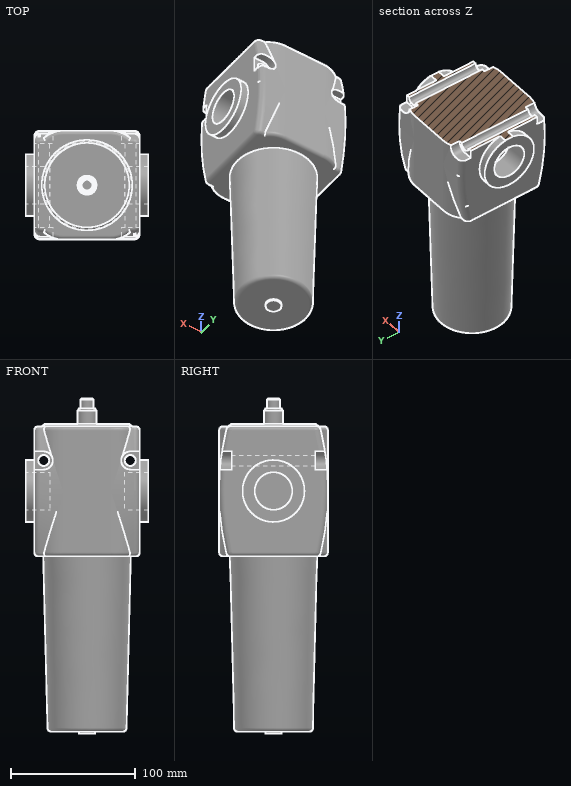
import cadquery as cq
total_height = 270.5
body_bottom = 143.0
body_top = 248.0
body_height = body_top - body_bottom
body_middle = (body_bottom + body_top) / 2

body_width = 85.2
body_depth = 88.0
core_flat_width = 38.5
core_corner_radius = (body_width - core_flat_width) / 2
barrel_end_depth = 74.7
barrel_edge_radius = 5.0
rim_radius = 3.2

port_height = 196.0
port_span = 99.0
port_diameter = 50.0
bore_diameter = 30.3
bore_depth = 19.5

hole_diameter = 8.7
hole_offset = 35.0
hole_height = 220.5
seat_radius = 7.3
seat_half_depth = 33.8

lid_base_diameter = 73.0
lid_top = 250.0
lid_top_diameter = 68.2
stem_diameter = 15.5
stem_shoulder = 262.5
stem_top_diameter = 13.0
stem_bevel_height = 2.0
button_diameter = 10.5
button_top_diameter = 8.7
button_bevel_height = 1.0

bowl_top_diameter = 71.0
bowl_bottom_diameter = 63.8
bowl_bottom = 1.5
bowl_edge_radius = 3.2
pin_diameter = 13.0


def cylinder(diameter, bottom, top):
    """Upright cylinder on the Z axis."""
    return cq.Workplane("XY").workplane(offset=bottom).circle(diameter / 2).extrude(top - bottom)


def cone(bottom_diameter, top_diameter, bottom, top):
    """Upright truncated cone on the Z axis."""
    return (
        cq.Workplane("XY")
        .workplane(offset=bottom)
        .circle(bottom_diameter / 2)
        .workplane(offset=top - bottom)
        .circle(top_diameter / 2)
        .loft()
    )


def make_core():
    """Upright block with large round corners and rounded top and bottom rims."""
    block = cq.Workplane("XY").box(body_width, body_depth, body_height)
    block = block.edges("|Z").fillet(core_corner_radius)
    return block.faces("<Z or >Z").edges().fillet(rim_radius).translate((0, 0, body_middle))


def make_barrel():
    """Block whose front and back faces bulge along Z, narrowest at the top and bottom."""
    end_y = barrel_end_depth / 2
    bulge_y = body_depth / 2
    half_height = body_height / 2
    block = (
        cq.Workplane("YZ")
        .moveTo(-end_y, -half_height)
        .lineTo(end_y, -half_height)
        .threePointArc((bulge_y, 0), (end_y, half_height))
        .lineTo(-end_y, half_height)
        .threePointArc((-bulge_y, 0), (-end_y, -half_height))
        .close()
        .extrude(body_width / 2, both=True)
    )
    block = block.edges("%CIRCLE").fillet(barrel_edge_radius)
    return block.faces("<Z or >Z").edges().fillet(rim_radius).translate((0, 0, body_middle))


def make_lid():
    """Low conical disc on top of the body."""
    return cone(lid_base_diameter, lid_top_diameter, body_top, lid_top)


def make_stem():
    """Indicator stem: thick base and narrower button, both bevelled."""
    base_bevel = stem_shoulder - stem_bevel_height
    base = cylinder(stem_diameter, body_top, base_bevel)
    base = base.union(cone(stem_diameter, stem_top_diameter, base_bevel, stem_shoulder))
    button_bevel = total_height - button_bevel_height
    button = cylinder(button_diameter, body_top, button_bevel)
    button = button.union(cone(button_diameter, button_top_diameter, button_bevel, total_height))
    return base.union(button)


def make_bowl():
    """Tapered bowl with a rounded bottom edge and a short drain pin."""
    bowl = cone(bowl_bottom_diameter, bowl_top_diameter, bowl_bottom, body_bottom)
    bowl = bowl.faces("<Z").edges().fillet(bowl_edge_radius)
    return bowl.union(cylinder(pin_diameter, 0, body_bottom))


def make_port_flanges():
    """Round bar across the body whose ends form both port flanges."""
    bar = cq.Workplane("YZ").center(0, port_height).circle(port_diameter / 2)
    return bar.extrude(port_span / 2, both=True)


def make_port_bore(side):
    """Blind bore from the flange face on one side (-1 or 1)."""
    bore = cq.Workplane("YZ", origin=(side * port_span / 2, 0, port_height))
    return bore.circle(bore_diameter / 2).extrude(-side * bore_depth)


def make_mounting_hole(side):
    """Through hole along Y near one side (-1 or 1)."""
    hole = cq.Workplane("XZ").center(side * hole_offset, hole_height).circle(hole_diameter / 2)
    return hole.extrude(body_depth, both=True)


def make_seat(side, face):
    """Round-ended recess around a hole, open to one side (X) and one face (Y)."""
    length = body_width / 2
    height = 2 * seat_radius
    seat = cq.Workplane("XZ").circle(seat_radius).extrude(-face * body_depth)
    seat = seat.union(
        cq.Workplane("XZ").center(side * length / 2, 0).rect(length, height).extrude(-face * body_depth)
    )
    return seat.translate((side * hole_offset, face * seat_half_depth, hole_height))


result = make_core().union(make_barrel()).union(make_port_flanges())
for side in (-1, 1):
    result = result.cut(make_port_bore(side)).cut(make_mounting_hole(side))
    for face in (-1, 1):
        result = result.cut(make_seat(side, face))
result = result.union(make_lid()).union(make_stem()).union(make_bowl())